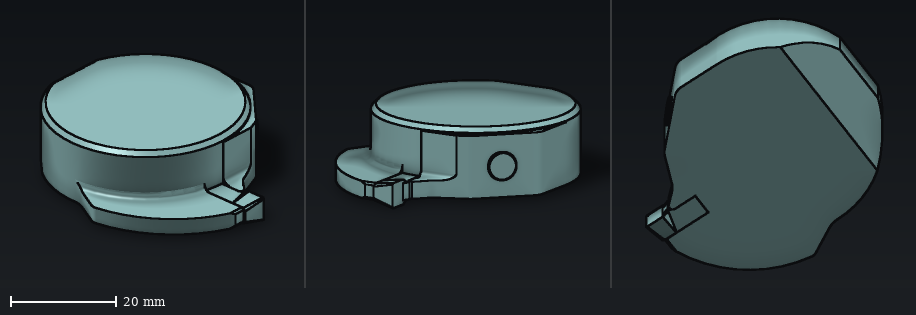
import cadquery as cq
import math


disc_radius = 20.0
disc_height = 13.55
rim_chamfer = 1.0
flat_x = -19.0
bevel_size = 7.0

flange_height = 3.35
root_fillet = 1.5
root_top = flange_height + root_fillet
flange_end_x = 29.5
flange_end_chamfer = 0.45
rim_arc_centre = (4.7, 2.7)
rim_arc_radius = 26.55
rim_arc_start_x = 8.1
rim_arc_middle_x = 22.3
rim_corner_round = 2.0
flank_foot = (1.3, -19.95)
flank_foot_round = 4.45

block_step = 0.25
block_height = disc_height - rim_chamfer - block_step
block_wall_x = 20.1
facet_distance = 20.85
facet_reach = facet_distance * math.sqrt(2)
facet_end_x = 19.0
rear_foot = (21.85, 3.45)
rear_tip = (24.8, 0.85)
block_round = 3.0

boss_diameter = 5.5
boss_projection = 0.5
boss_chamfer = 0.15
boss_z = block_height / 2

insert_back_y = -4.55
shank_seat_y = -0.3
shank_inner_x = 19.35
seat_ramp_x = 24.25
seat_ramp_end_x = 24.8
head_inner_x = 26.75
head_toe_x = 25.4
head_tip_x = 30.6
head_back_toe_x = 26.7
head_back_x = 30.0
head_rise = 0.8
edge_chamfer = 0.25
back_chamfer = 0.55
ridge_height = 0.55
ridge_inner_x = 24.95
ridge_peak_x = 25.25


def rim_arc_point_at_x(x):
    """Point of the outer flange arc, on its -Y half."""
    centre_x, centre_y = rim_arc_centre
    return x, centre_y - math.sqrt(rim_arc_radius ** 2 - (x - centre_x) ** 2)


def upright_edge(point):
    """Selector for the vertical edge through a point of an outline."""
    reach = 0.15
    x, y = point
    return cq.selectors.BoxSelector((x - reach, y - reach, 0), (x + reach, y + reach, disc_height))


def disc_prism(height):
    return cq.Workplane("XY").circle(disc_radius).extrude(height)


def flange_prism(height):
    """Disc and flange outline together, with the corners of the flange rounded."""
    corner = rim_arc_point_at_x(rim_arc_start_x)
    flange = (
        cq.Workplane("XY")
        .moveTo(0, 0)
        .lineTo(*flank_foot)
        .lineTo(*corner)
        .threePointArc(rim_arc_point_at_x(rim_arc_middle_x), rim_arc_point_at_x(flange_end_x))
        .lineTo(flange_end_x, 0)
        .close()
        .extrude(height)
    )
    prism = disc_prism(height).union(flange)
    foot_edge = prism.edges("|Z").edges(upright_edge(flank_foot))
    prism = foot_edge.fillet(flank_foot_round)
    return prism.edges("|Z").edges(upright_edge(corner)).fillet(rim_corner_round)


def block_prism(height):
    """Outline of the block behind the insert, with its corners rounded."""
    top_corner = (facet_reach - disc_radius, disc_radius)
    facet_end = (facet_end_x, facet_reach - facet_end_x)
    outline = [(0, 0), (0, disc_radius), top_corner, facet_end, rear_foot, rear_tip, (rear_tip[0], 0)]
    prism = cq.Workplane("XY").polyline(outline).close().extrude(height)
    for corner in (top_corner, facet_end, rear_foot):
        prism = prism.edges("|Z").edges(upright_edge(corner)).fillet(block_round)
    return prism


def root_fillet_profile(wall):
    """Section of the fillet: rises from the flange to a wall at the given distance from the axis."""
    bend = root_fillet * (1 - math.sqrt(0.5))
    return (
        cq.Workplane("XZ")
        .moveTo(0, flange_height)
        .lineTo(wall + root_fillet, flange_height)
        .threePointArc((wall + bend, flange_height + bend), (wall, root_top))
        .lineTo(0, root_top)
        .close()
    )


def make_disc():
    return disc_prism(disc_height).faces(">Z").chamfer(rim_chamfer)


def make_flange():
    flange = flange_prism(flange_height)
    flange = flange.edges("|Y and >X").chamfer(flange_end_chamfer)
    root_ring = root_fillet_profile(disc_radius).revolve(360, (0, 0, 0), (0, 1, 0))
    return flange.union(root_ring.intersect(flange_prism(root_top)))


def make_block():
    tall_part = block_prism(block_height).intersect(
        cq.Workplane("XY").box(block_wall_x, disc_radius, block_height, centered=False)
    )
    root_bar = root_fillet_profile(block_wall_x).extrude(-disc_radius)
    root = root_bar.intersect(block_prism(root_top))
    return block_prism(flange_height).union(tall_part).union(root)


def make_boss():
    """Cylinder square to the 45 degree facet, running inward to the disc axis."""
    facet_plane = cq.Plane(origin=(0, 0, boss_z), xDir=(0, 0, 1), normal=(1, 1, 0))
    boss = cq.Workplane(facet_plane).circle(boss_diameter / 2).extrude(facet_distance + boss_projection)
    return boss.faces(cq.DirectionMinMaxSelector(facet_plane.zDir)).chamfer(boss_chamfer)


def shank_prism(height):
    """Part of the insert that is flush with the flange."""
    outline = [
        (shank_inner_x, insert_back_y),
        (head_inner_x, insert_back_y),
        (head_inner_x, 0),
        (seat_ramp_end_x, 0),
        (seat_ramp_x, shank_seat_y),
        (shank_inner_x, shank_seat_y),
    ]
    return cq.Workplane("XY").polyline(outline).close().extrude(height)


def pocket_slab(inner_x, bottom_z, height):
    """Block as deep as the insert, from a given X out to the end of the flange."""
    slab = cq.Workplane("XY").box(flange_end_x - inner_x, -insert_back_y, height, centered=False)
    return slab.translate((inner_x, insert_back_y, bottom_z))


def insert_pocket():
    """Seat of the insert, open at the end of the flange, with the root fillet cleared above it."""
    seat = shank_prism(flange_height)
    open_end = pocket_slab(seat_ramp_end_x, 0, flange_height)
    clearance = pocket_slab(shank_inner_x, flange_height, root_fillet).cut(disc_prism(root_top))
    return seat.union(open_end).union(clearance)


def side_flat_waste():
    """Stock cut away on the -X side: leaves the flat, the bevel below it and the rim chamfer above it."""
    outer_x = -disc_radius
    return (
        cq.Workplane("XZ")
        .moveTo(outer_x, 0)
        .lineTo(flat_x + bevel_size, 0)
        .lineTo(flat_x, bevel_size)
        .lineTo(flat_x, disc_height - rim_chamfer)
        .lineTo(flat_x + rim_chamfer, disc_height)
        .lineTo(outer_x, disc_height)
        .close()
        .extrude(disc_radius, both=True)
    )


def make_holder():
    holder = make_disc().union(make_flange()).union(make_block()).union(make_boss())
    return holder.cut(insert_pocket()).cut(side_flat_waste())


def head_section(toe_x, tip_x, rise, chamfer):
    """Section of the cutting head, symmetric about the middle of the flange."""
    half_root = flange_height / 2
    half_height = half_root + rise
    upper = [
        (toe_x, half_root),
        (head_inner_x, half_height),
        (tip_x - chamfer, half_height),
        (tip_x, half_height - chamfer),
    ]
    lower = [(x, -z) for x, z in reversed(upper)]
    return upper + lower


def make_head():
    """Relieved cutting head: largest at the rake face, flush with the flange at the plain end."""
    front = head_section(head_toe_x, head_tip_x, head_rise, edge_chamfer)
    back = head_section(head_back_toe_x, head_back_x, 0, back_chamfer)
    return (
        cq.Workplane("XZ", origin=(0, 0, flange_height / 2))
        .polyline(front)
        .close()
        .workplane(offset=-insert_back_y)
        .polyline(back)
        .close()
        .loft(ruled=True)
    )


def make_ridge():
    outline = [(ridge_inner_x, 0), (ridge_peak_x, ridge_height), (head_inner_x, 0)]
    return cq.Workplane("XY").polyline(outline).close().extrude(flange_height)


def make_insert():
    return shank_prism(flange_height).union(make_head()).union(make_ridge())


holder = make_holder()
insert = make_insert()

result = cq.Compound.makeCompound([holder.solids().val(), insert.solids().val()])